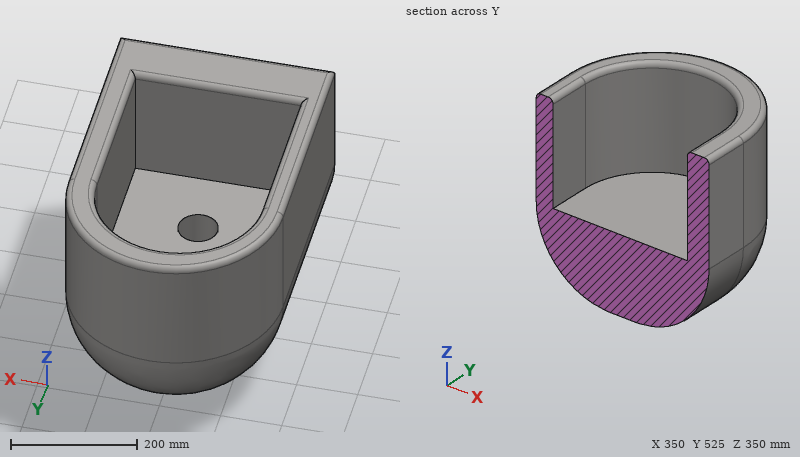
import cadquery as cq

length = 525.0
width = 350.0
height = 350.0
bottom_radius = 150.0
edge_radius = 10.0

rim_radius = 10.0
side_ledge = 30.0
front_ledge = 75.0
back_ledge = 35.0
basin_depth = 200.0
basin_shift_x = -5.0

drain_diameter = 64.0
drain_y = 200.0


def arched_prism(prism_width, front_y, back_y, base_z, prism_height):
    """Vertical prism with a square front and a semicircular back."""
    radius = prism_width / 2
    arc_start_y = back_y - radius
    return (
        cq.Workplane("XY", origin=(0, 0, base_z))
        .moveTo(-radius, front_y)
        .lineTo(radius, front_y)
        .lineTo(radius, arc_start_y)
        .threePointArc((0, back_y), (-radius, arc_start_y))
        .close()
        .extrude(prism_height)
    )


def make_body():
    """Solid body, rounded below along the sides and back but not the front."""
    body = arched_prism(width, 0, length, 0, height)
    body = body.faces("<Z").edges("not(<Y)").fillet(bottom_radius)
    return body.faces(">Z").edges().fillet(edge_radius)


def cut_basin(body):
    """Sink the basin and round over its rim."""
    opening_width = width - 2 * side_ledge
    basin = arched_prism(
        opening_width - 2 * rim_radius,
        front_ledge + rim_radius,
        length - back_ledge - rim_radius,
        height - basin_depth,
        basin_depth,
    ).translate((basin_shift_x, 0, 0))
    rim = cq.selectors.BoxSelector(
        (basin_shift_x - opening_width / 2, front_ledge, height - rim_radius / 2),
        (basin_shift_x + opening_width / 2, length - back_ledge, height + rim_radius / 2),
    )
    return body.cut(basin).edges(rim).fillet(rim_radius)


def cut_drain(body):
    """Drill the drain from the basin floor through the underside."""
    drain = cq.Workplane("XY").center(0, drain_y).circle(drain_diameter / 2).extrude(height)
    return body.cut(drain)


result = cut_drain(cut_basin(make_body()))